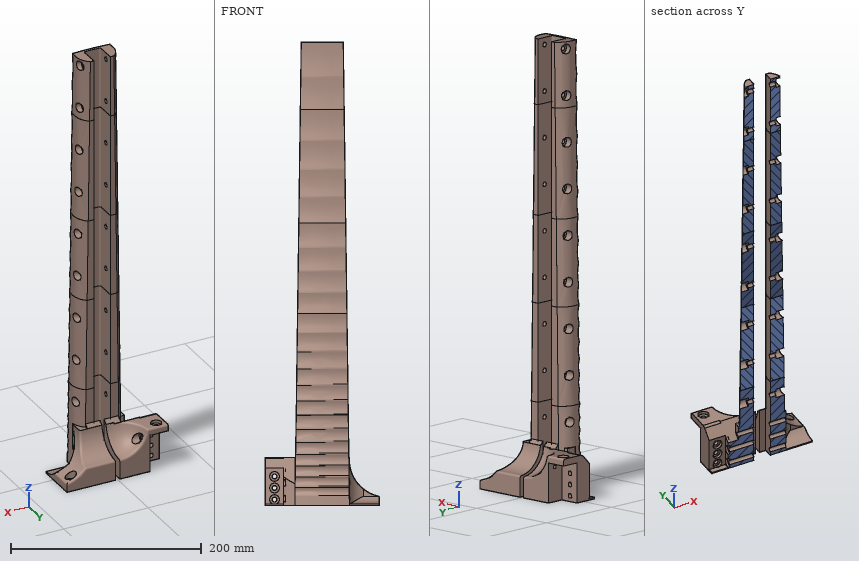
import cadquery as cq
import math


LENGTH = 486.5
FRET_COUNT = 24
SCALE_LENGTH = LENGTH / (1 - 2 ** (-FRET_COUNT / 12))
TOP_WIDTH = 44.3
END_WIDTH = 57.5
TOP_HALF_WIDTH = TOP_WIDTH / 2
END_HALF_WIDTH = END_WIDTH / 2
CROWN_RADIUS = 292.0
BOARD_EDGE_Y = 6.5
NECK_BACK_Y = 26.0
BACK_INSET = 8.5
SIDE_BULGE_INSET = 2.0
SIDE_BULGE_Y = 18.0

SPLIT_FRETS = [0, 2, 6, 10, 16, FRET_COUNT]

SCALLOP_DEPTH = 1.5
FRET_LAND = 1.5
LAST_SCALLOP_FRET = 23
SCALLOP_SWEEP = 20.0

CHANNEL_HALF_WIDTH = 9.5
CHANNEL_FLOOR_Y = 3.5
CHANNEL_FILLET = 2.0

HOLE_DIAMETER = 5.0
COUNTERBORE_DIAMETER = 10.0
SIDE_HOLE_Y = 15.5
SIDE_SEAT_X = 16.5
TOP_HOLE_DROP = 8.0
SIDE_HOLE_PITCH = 50.0
SIDE_HOLE_COUNT = 9
SIDE_HOLE_HEIGHTS = [LENGTH - TOP_HOLE_DROP - i * SIDE_HOLE_PITCH for i in range(SIDE_HOLE_COUNT)]

HEEL_WIDTH = 120.0
HEEL_HALF = HEEL_WIDTH / 2
HEEL_BACK_Y = 61.5
HEEL_HEIGHT = 50.5
HEEL_FRONT_Y = 13.5
LIP_HEIGHT = 2.0
SLOT_WIDTH = 5.0

EASE_LENGTH = 2.0
SLOPE_TOP_Y = 32.5
RECESS_X = -41.0
RECESS_Y = 21.5
FLANK_END_Y = 5.0
FLANK_CORNER_Y = 12.5
FLANK_X = -38.0
FLANK_Y = 10.0

EAR_THICKNESS = 7.5
EAR_FRONT_Y = 41.0
EAR_WALL_X = -38.5

TIP_HEIGHT = 9.5
RIGHT_FRONT_Y = 33.5
LIP_TOP_Y = 16.5
LIP_MIDDLE = (26.5, 4.5)
SWOOP_MIDDLE = (39.0, 21.5)
FLARE_START = (28.0, 12.5)
FLARE_MIDDLE = (33.0, 26.0)
FLARE_END_X = 43.5

SCOOP_RADIUS = 31.5
SCOOP_X = -4.0
SCOOP_Y = 61.5
SCOOP_Z = 54.5

ROOT_HEIGHT = 54.5
ROOT_HALF_WIDTH = 19.5
PAD_X = -END_HALF_WIDTH
PAD_FRONT_Y = 9.0
EDGE_RADIUS = 2.5

EAR_HOLE_X = 50.5
EAR_HOLE_Y = 51.5
EAR_SEAT_DEPTH = 3.5
EAR_COUNTERBORE_DIAMETER = 11.5
CROSS_HOLE_DIAMETER = 4.0
CROSS_HOLE_Z = 37.5
CROSS_SEAT_X = -33.0
FACE_HOLE_X = -50.0
FACE_HOLE_FIRST_Z = 6.5
FACE_HOLE_PITCH = 12.0
FACE_SEAT_DEPTH = 3.5
FLANK_HOLE_FIRST_Z = 7.5
FLANK_HOLE_PITCH = 16.5
FLANK_SEAT_X = -38.5
HEEL_HOLE_COUNT = 3


def fret_height(fret):
    return LENGTH - SCALE_LENGTH * (1 - 2 ** (-fret / 12))


def half_width(z):
    return END_HALF_WIDTH + (TOP_HALF_WIDTH - END_HALF_WIDTH) * z / LENGTH


def box(x0, x1, y0, y1, z0, z1):
    return cq.Workplane("XY").box(x1 - x0, y1 - y0, z1 - z0, centered=False).translate((x0, y0, z0))


def rod(diameter, start, direction, length):
    solid = cq.Solid.makeCylinder(diameter / 2, length, cq.Vector(*start), cq.Vector(*direction))
    return cq.Workplane(obj=solid)


def extrude_along_x(sketch, x0, x1):
    return sketch.extrude(x1 - x0).translate((x0, 0, 0))


def neck_section(workplane, z):
    edge = half_width(z)
    edge_y = CROWN_RADIUS - math.sqrt(CROWN_RADIUS**2 - edge**2)
    bulge = edge - SIDE_BULGE_INSET
    back = edge - BACK_INSET
    return (
        workplane.moveTo(-edge, edge_y)
        .threePointArc((0, 0), (edge, edge_y))
        .lineTo(edge, BOARD_EDGE_Y)
        .threePointArc((bulge, SIDE_BULGE_Y), (back, NECK_BACK_Y))
        .lineTo(-back, NECK_BACK_Y)
        .threePointArc((-bulge, SIDE_BULGE_Y), (-edge, BOARD_EDGE_Y))
        .close()
    )


def neck_blank(z0, z1):
    lower = neck_section(cq.Workplane("XY").workplane(offset=z0), z0)
    return neck_section(lower.workplane(offset=z1 - z0), z1).loft(ruled=True, combine=True)


def scallop(fret):
    """Cutter for the shallow dish between two frets, swept around the crown of the board."""
    half_span = (fret_height(fret) - fret_height(fret + 1) - FRET_LAND) / 2
    middle = (fret_height(fret) + fret_height(fret + 1)) / 2
    dish_radius = (half_span**2 + SCALLOP_DEPTH**2) / (2 * SCALLOP_DEPTH)
    dish_center_y = SCALLOP_DEPTH - dish_radius
    front_y = -SCALLOP_DEPTH
    front_half_span = math.sqrt(dish_radius**2 - (front_y - dish_center_y) ** 2)
    return (
        cq.Workplane("YZ")
        .moveTo(front_y, middle - front_half_span)
        .threePointArc((SCALLOP_DEPTH, middle), (front_y, middle + front_half_span))
        .close()
        .revolve(SCALLOP_SWEEP, (CROWN_RADIUS, 0), (CROWN_RADIUS, 1))
        .rotate((0, CROWN_RADIUS, 0), (0, CROWN_RADIUS, 1), -SCALLOP_SWEEP / 2)
    )


def channel(z0, z1):
    groove = box(-CHANNEL_HALF_WIDTH, CHANNEL_HALF_WIDTH, CHANNEL_FLOOR_Y, NECK_BACK_Y, z0, z1)
    return groove.edges("|Z and <Y").fillet(CHANNEL_FILLET)


def side_hole(z):
    """Hole across both neck walls with a counterbore from each side."""
    hole = rod(HOLE_DIAMETER, (-HEEL_HALF, SIDE_HOLE_Y, z), (1, 0, 0), HEEL_WIDTH)
    for side in (-1, 1):
        start = (side * SIDE_SEAT_X, SIDE_HOLE_Y, z)
        hole = hole.union(rod(COUNTERBORE_DIAMETER, start, (side, 0, 0), END_HALF_WIDTH))
    return hole


def cut_neck_features(body, first_fret, last_fret):
    z0 = fret_height(last_fret)
    z1 = fret_height(first_fret)
    body = body.cut(channel(z0, z1))
    for fret in range(first_fret, min(last_fret, LAST_SCALLOP_FRET)):
        body = body.cut(scallop(fret))
    for z in SIDE_HOLE_HEIGHTS:
        if z0 < z < z1:
            body = body.cut(side_hole(z))
    return body


def neck_segment(first_fret, last_fret):
    blank = neck_blank(fret_height(last_fret), fret_height(first_fret))
    return cut_neck_features(blank, first_fret, last_fret)


def left_block():
    """Mounting block with a 45 degree front slope, a front recess and an overhanging ear."""
    plan = [
        (-HEEL_HALF, HEEL_BACK_Y),
        (-HEEL_HALF, HEEL_FRONT_Y),
        (RECESS_X, HEEL_FRONT_Y),
        (RECESS_X, FLANK_CORNER_Y),
        (FLANK_X, FLANK_Y),
        (-END_HALF_WIDTH, FLANK_END_Y),
        (0, BOARD_EDGE_Y),
        (0, HEEL_BACK_Y),
    ]
    block = cq.Workplane("XY").polyline(plan).close().extrude(HEEL_HEIGHT)
    slope_foot_y = SLOPE_TOP_Y - HEEL_HEIGHT
    slope = cq.Workplane("YZ").polyline(
        [
            (SLOPE_TOP_Y, HEEL_HEIGHT),
            (slope_foot_y, 0),
            (slope_foot_y, HEEL_HEIGHT),
        ]
    )
    recess = box(-HEEL_HALF, RECESS_X, 0, RECESS_Y, LIP_HEIGHT, HEEL_HEIGHT)
    under_ear = box(-HEEL_HALF, EAR_WALL_X, EAR_FRONT_Y, HEEL_BACK_Y, 0, HEEL_HEIGHT - EAR_THICKNESS)
    block = block.cut(extrude_along_x(slope.close(), -HEEL_HALF, 0))
    return block.cut(slope_easing()).cut(recess).cut(under_ear)


def slope_easing():
    """Cutter that flattens the outer stretch of the edge at the top of the front slope."""
    drop = EASE_LENGTH / math.sqrt(2)
    corner = cq.Workplane("YZ").polyline(
        [
            (SLOPE_TOP_Y + EASE_LENGTH, HEEL_HEIGHT),
            (SLOPE_TOP_Y - drop, HEEL_HEIGHT - drop),
            (SLOPE_TOP_Y - drop, HEEL_HEIGHT),
        ]
    )
    return extrude_along_x(corner.close(), -HEEL_HALF, RECESS_X)


def right_swoop():
    """Web that sweeps down from the neck side to the thin right ear, with a low front lip."""
    side = (
        cq.Workplane("XZ")
        .lineTo(HEEL_HALF, 0)
        .lineTo(HEEL_HALF, TIP_HEIGHT)
        .threePointArc(SWOOP_MIDDLE, (END_HALF_WIDTH, HEEL_HEIGHT))
        .lineTo(0, HEEL_HEIGHT)
        .close()
        .extrude(-HEEL_BACK_Y)
    )
    plan = (
        cq.Workplane("XY")
        .moveTo(0, FLARE_START[1])
        .lineTo(*FLARE_START)
        .threePointArc(FLARE_MIDDLE, (FLARE_END_X, RIGHT_FRONT_Y))
        .lineTo(HEEL_HALF, RIGHT_FRONT_Y)
        .lineTo(HEEL_HALF, HEEL_BACK_Y)
        .lineTo(0, HEEL_BACK_Y)
        .close()
        .extrude(HEEL_HEIGHT)
    )
    lip = (
        cq.Workplane("YZ")
        .moveTo(HEEL_FRONT_Y, 0)
        .lineTo(HEEL_FRONT_Y, LIP_HEIGHT)
        .lineTo(LIP_TOP_Y, LIP_HEIGHT)
        .threePointArc(LIP_MIDDLE, (RIGHT_FRONT_Y, TIP_HEIGHT))
        .lineTo(RIGHT_FRONT_Y, 0)
        .close()
    )
    return side.intersect(plan).union(extrude_along_x(lip, 0, HEEL_HALF))


def neck_root():
    """Bridge between the neck back and the scoop, with a 45 degree top."""
    side = cq.Workplane("YZ").polyline(
        [
            (BOARD_EDGE_Y, 0),
            (BOARD_EDGE_Y, ROOT_HEIGHT),
            (NECK_BACK_Y, ROOT_HEIGHT),
            (NECK_BACK_Y + ROOT_HEIGHT / 2, ROOT_HEIGHT / 2),
            (NECK_BACK_Y + ROOT_HEIGHT / 2, 0),
        ]
    )
    return extrude_along_x(side.close(), -ROOT_HALF_WIDTH, ROOT_HALF_WIDTH)


def scoop():
    """Concave sweep from the neck back down to the heel back, with a round left end."""
    ball = cq.Workplane("XY").sphere(SCOOP_RADIUS).translate((SCOOP_X, SCOOP_Y, SCOOP_Z))
    sweep = rod(2 * SCOOP_RADIUS, (SCOOP_X, SCOOP_Y, SCOOP_Z), (1, 0, 0), HEEL_WIDTH)
    return ball.union(sweep)


def rounded_heel():
    """Heel with its upper back edges, the right ear end and the rim of the scoop rounded."""
    heel = left_block().union(right_swoop()).union(neck_root()).cut(scoop())
    left_ear_back = (-EAR_HOLE_X, HEEL_BACK_Y, HEEL_HEIGHT)
    scoop_side_back = (-24.5, HEEL_BACK_Y, 32.5)
    scoop_bottom_back = (FLARE_START[0] / 2, HEEL_BACK_Y, SCOOP_Z - SCOOP_RADIUS)
    right_ear_back = (EAR_HOLE_X, HEEL_BACK_Y, 14.5)
    right_ear_end = (HEEL_HALF, (RIGHT_FRONT_Y + HEEL_BACK_Y) / 2, TIP_HEIGHT)
    left_rim = (-30.5, 44, HEEL_HEIGHT)
    right_rim = (32.5, 41.0, 32.5)
    places = [
        left_ear_back,
        scoop_side_back,
        scoop_bottom_back,
        right_ear_back,
        right_ear_end,
        left_rim,
        right_rim,
    ]
    edges = [heel.edges(cq.selectors.NearestToPointSelector(place)).val() for place in places]
    return heel.newObject(edges).fillet(EDGE_RADIUS)


def side_pad():
    """Flat pad over the rounded left side of the neck where the top flank screw sits."""
    return box(PAD_X, -CHANNEL_HALF_WIDTH, PAD_FRONT_Y, RECESS_Y, 0, HEEL_HEIGHT)


def clamp_slot():
    return box(-SLOT_WIDTH / 2, SLOT_WIDTH / 2, CHANNEL_FLOOR_Y, HEEL_BACK_Y, 0, ROOT_HEIGHT)


def ear_holes():
    """Upright counterbored holes, one in each ear."""
    holes = []
    for x, top in ((-EAR_HOLE_X, HEEL_HEIGHT), (EAR_HOLE_X, TIP_HEIGHT)):
        seat = (x, EAR_HOLE_Y, top - EAR_SEAT_DEPTH)
        holes.append(rod(HOLE_DIAMETER, (x, EAR_HOLE_Y, 0), (0, 0, 1), HEEL_HEIGHT))
        holes.append(rod(EAR_COUNTERBORE_DIAMETER, seat, (0, 0, 1), HEEL_HEIGHT))
    return holes


def cross_hole():
    """Hole from below the left ear into the scoop, counterbored on the scoop side."""
    start = (-HEEL_HALF, EAR_HOLE_Y, CROSS_HOLE_Z)
    seat = (CROSS_SEAT_X, EAR_HOLE_Y, CROSS_HOLE_Z)
    return [
        rod(CROSS_HOLE_DIAMETER, start, (1, 0, 0), HEEL_WIDTH),
        rod(COUNTERBORE_DIAMETER, seat, (1, 0, 0), HEEL_HALF),
    ]


def face_holes():
    """Column of counterbored holes through the recess face, front to back."""
    holes = []
    for i in range(HEEL_HOLE_COUNT):
        z = FACE_HOLE_FIRST_Z + i * FACE_HOLE_PITCH
        seat = (FACE_HOLE_X, RECESS_Y + FACE_SEAT_DEPTH, z)
        holes.append(rod(HOLE_DIAMETER, (FACE_HOLE_X, 0, z), (0, 1, 0), HEEL_BACK_Y))
        holes.append(rod(COUNTERBORE_DIAMETER, seat, (0, -1, 0), FACE_SEAT_DEPTH))
    return holes


def flank_holes():
    """Column of counterbored holes across the whole heel, entered from the left flank."""
    holes = []
    for i in range(HEEL_HOLE_COUNT):
        z = FLANK_HOLE_FIRST_Z + i * FLANK_HOLE_PITCH
        seat = (FLANK_SEAT_X, SIDE_HOLE_Y, z)
        holes.append(rod(HOLE_DIAMETER, (-HEEL_HALF, SIDE_HOLE_Y, z), (1, 0, 0), HEEL_WIDTH))
        holes.append(rod(COUNTERBORE_DIAMETER, seat, (-1, 0, 0), HEEL_HALF))
    return holes


def heel_segment(first_fret):
    body = neck_blank(0, fret_height(first_fret))
    body = body.union(rounded_heel()).union(side_pad()).cut(clamp_slot())
    for hole in ear_holes() + cross_hole() + face_holes() + flank_holes():
        body = body.cut(hole)
    return cut_neck_features(body, first_fret, FRET_COUNT)


neck_bodies = []
for upper_fret, lower_fret in zip(SPLIT_FRETS[:-2], SPLIT_FRETS[1:-1]):
    neck_bodies.append(neck_segment(upper_fret, lower_fret))
heel_body = heel_segment(SPLIT_FRETS[-2])

result = cq.Compound.makeCompound(
    [
        *[body.solids().val() for body in neck_bodies],
        heel_body.solids().val(),
    ]
)